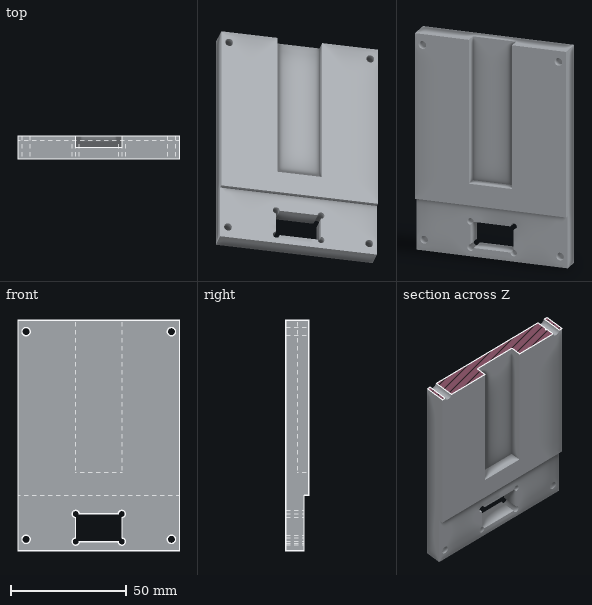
import cadquery as cq

width = 70.0
thickness = 10.0
height = 100.0

step_height = 24.0
step_depth = 2.0

hole_diameter = 3.5
hole_side_inset = 3.5
hole_end_inset = 5.0

window_width = 20.0
window_height = 12.0
window_center_z = 10.0
relief_diameter = 3.0

channel_width = 20.0
channel_depth = 5.0
channel_end_wall = 10.0


def through_holes(points, diameter):
    """Cylinders along Y through the plate, at (x, z) points."""
    return (
        cq.Workplane("XZ")
        .pushPoints(points)
        .circle(diameter / 2)
        .extrude(-thickness)
    )


def block(size_x, size_y, size_z, y_min, z_min):
    """Box centred on x = 0 that starts at y_min and z_min."""
    return (
        cq.Workplane("XY")
        .box(size_x, size_y, size_z, centered=(True, False, False))
        .translate((0, y_min, z_min))
    )


plate = block(width, thickness, height, 0, 0)
step = block(width, step_depth, step_height, thickness - step_depth, 0)
channel_bottom = step_height + channel_end_wall
channel = block(
    channel_width,
    channel_depth,
    height - channel_bottom,
    thickness - channel_depth,
    channel_bottom,
)

hole_x = width / 2 - hole_side_inset
hole_points = [
    (x, z)
    for x in (-hole_x, hole_x)
    for z in (hole_end_inset, height - hole_end_inset)
]
mounting_holes = through_holes(hole_points, hole_diameter)

window_bottom = window_center_z - window_height / 2
window_top = window_center_z + window_height / 2
window = block(window_width, thickness, window_height, 0, window_bottom)
relief_points = [
    (x, z)
    for x in (-window_width / 2, window_width / 2)
    for z in (window_bottom, window_top)
]
corner_reliefs = through_holes(relief_points, relief_diameter)

result = plate.cut(step).cut(channel).cut(mounting_holes).cut(window).cut(corner_reliefs)